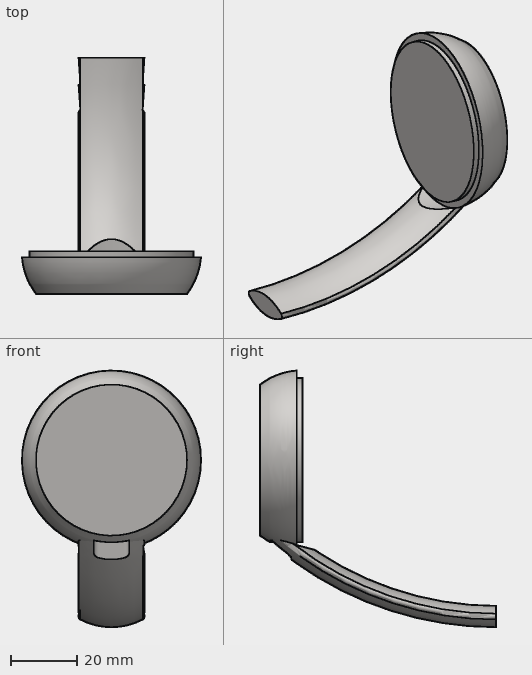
import cadquery as cq
import math

total_height = 77.7
total_depth = 71.5

rim_radius = 27.1
shoulder_radius = 25.7
face_radius = 22.8
shoulder_depth = 5.1
disc_depth = 11.2
plug_radius = 24.85
plug_depth = 13.0
disc_center_z = total_height - rim_radius

arm_width = 20.0
arm_thickness = 6.5
arm_edge_radius = 1.0
arm_outer_radius = 103.85
arm_sweep_angle = 43.0

slot_width = 10.8
slot_corner_radius = 1.55
slot_end_y = 9.5


def disc_cylinder(radius, start_y, end_y):
    """Cylinder on the disc axis between two Y positions."""
    plane = cq.Plane(origin=(0, start_y, disc_center_z), xDir=(1, 0, 0), normal=(0, 1, 0))
    return cq.Workplane(plane).circle(radius).extrude(end_y - start_y)


def make_disc():
    """Domed disc: its arc profile is revolved about the Y axis."""
    disc = (
        cq.Workplane("XY")
        .lineTo(face_radius, 0)
        .threePointArc((shoulder_radius, shoulder_depth), (rim_radius, disc_depth))
        .lineTo(0, disc_depth)
        .close()
        .revolve(360, (0, 0), (0, 1))
    )
    return disc.translate((0, 0, disc_center_z))


def make_arm():
    """Lens section swept along an arc from the level free end up to the disc."""
    half_width = arm_width / 2
    middle_z = arm_thickness / 2
    edge_center_x = half_width - arm_edge_radius
    crown_rise = middle_z - arm_edge_radius
    crown_radius = (edge_center_x**2 / crown_rise + middle_z + arm_edge_radius) / 2
    tangent_angle = math.asin(edge_center_x / (crown_radius - arm_edge_radius))
    tangent_x = crown_radius * math.sin(tangent_angle)
    tangent_drop = crown_radius * (1 - math.cos(tangent_angle))
    tangent_top = arm_thickness - tangent_drop
    free_end = cq.Plane(origin=(0, total_depth, 0), xDir=(1, 0, 0), normal=(0, -1, 0))
    arm = (
        cq.Workplane(free_end)
        .moveTo(-tangent_x, tangent_drop)
        .threePointArc((0, 0), (tangent_x, tangent_drop))
        .threePointArc((half_width, middle_z), (tangent_x, tangent_top))
        .threePointArc((0, arm_thickness), (-tangent_x, tangent_top))
        .threePointArc((-half_width, middle_z), (-tangent_x, tangent_drop))
        .close()
        .revolve(arm_sweep_angle, (0.8, arm_outer_radius), (0, arm_outer_radius))
    )
    return arm.cut(disc_cylinder(rim_radius, disc_depth, total_depth))


def make_slot():
    """Vertical slot with a rounded inner end, stopping at the plug radius."""
    slot = (
        cq.Workplane("XY")
        .rect(slot_width, 2 * slot_end_y)
        .extrude(disc_center_z)
        .edges("|Z")
        .fillet(slot_corner_radius)
    )
    return slot.cut(disc_cylinder(plug_radius, -slot_end_y, slot_end_y))


plug = disc_cylinder(plug_radius, disc_depth, plug_depth)
result = make_disc().union(make_arm()).cut(make_slot()).union(plug)